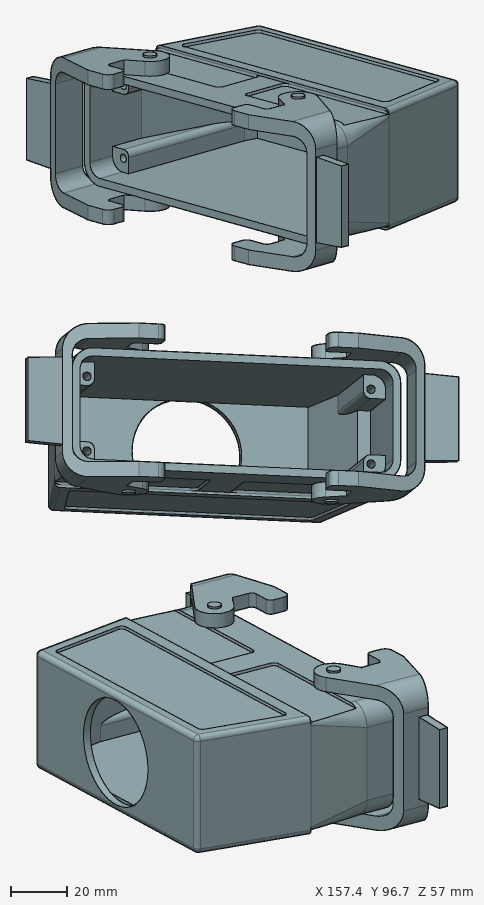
import cadquery as cq
import math


rim_depth = 11.5
step_y = 34.5
hood_depth = 78.5

rim_half_width = 60.0
step_half_width = 58.2
back_half_width = 50.0
rim_half_height = 21.6
rear_half_height = 22.6
rim_corner_radius = 7.6
edge_radius = 2.0

recess_draft = 15.0
recess_corner_radius = 2.0
recess_depth = 1.0
center_rib_width = 12.0
side_recess_front_y = 13.5
label_front_y = 39.5
label_back_y = 73.4
label_margin = 5.6

cavity_half_width = 57.2
cavity_half_height = 18.7
cavity_corner_radius = 5.0
floor_y = 75.5
left_slope_start_y = 26.0
left_floor_half_width = 48.2
right_ledge_half_width = 52.4
right_floor_half_width = 44.3
cable_hole_diameter = 40.0

boss_inner_x = 49.2
boss_inner_z = 10.2
boss_corner_radius = 2.5
screw_x = 51.9
screw_z = 13.5
screw_hole_diameter = 3.0
screw_hole_depth = 10.0

pin_x = 37.0
pin_y = 9.9
pin_diameter = 4.9
pin_half_span = 28.5

eye_radius = 7.0
lever_outer_x = 66.2
lever_web = 3.4
lever_half_height = 27.75
lever_arm_thickness = 5.45
lever_outer_radius = 9.1
lever_inner_radius = 5.7
lever_top_y = 0.0
lever_side_y = -10.8
lever_bottom_y = -18.2
hook_tip_x = pin_x - eye_radius
hook_throat_x = 40.1
hook_top_y = -9.0
hook_fillet = 2.0
hook_bottom_fillet = 2.9
tab_end_x = 78.7
tab_front_y = -10.4
tab_back_y = -6.8
tab_root_half_height = 15.8
tab_end_half_height = 15.1


def rounded_section(y, half_width, half_height, radius):
    """Rounded rectangle parallel to XZ at the given Y."""
    sketch = cq.Sketch().rect(2 * half_width, 2 * half_height).vertices().fillet(radius)
    return cq.Workplane("XZ", origin=(0, y, 0)).placeSketch(sketch)


def rear_half_width_at(y):
    """Half width of the tapered rear block at the given Y."""
    share = (y - step_y) / (hood_depth - step_y)
    return step_half_width + share * (back_half_width - step_half_width)


def mirrored_z(solid):
    """The solid together with its mirror image below Z = 0."""
    return solid.union(solid.mirror("XY"))


def make_rim():
    """Straight rim and the transition from its round corners to the step."""
    rim = rounded_section(0, rim_half_width, rim_half_height, rim_corner_radius).extrude(-rim_depth)
    lower = cq.Sketch().rect(2 * rim_half_width, 2 * rim_half_height)
    lower = lower.vertices().fillet(rim_corner_radius)
    upper = cq.Sketch().rect(2 * step_half_width, 2 * rim_half_height).vertices().fillet(edge_radius)
    upper = upper.moved(cq.Location(cq.Vector(0, 0, -(step_y - rim_depth))))
    neck = cq.Workplane("XZ", origin=(0, rim_depth, 0)).placeSketch(lower, upper).loft(ruled=True)
    return rim.union(neck)


def make_side_recess():
    """Cutter for the recess beside the center rib on the +X, +Z quarter of the neck."""
    inner_x = center_rib_width / 2
    length = rim_half_width
    width = step_y - side_recess_front_y
    center = (inner_x + length / 2, side_recess_front_y + width / 2, rim_half_height)
    sketch = cq.Sketch().rect(length, width).vertices().fillet(recess_corner_radius)
    return cq.Workplane("XY", origin=center).placeSketch(sketch).extrude(-recess_depth, taper=recess_draft)


def make_rear_block():
    """Tapered rear block with rounded long and back edges."""
    outline = [
        (-step_half_width, step_y),
        (step_half_width, step_y),
        (back_half_width, hood_depth),
        (-back_half_width, hood_depth),
    ]
    block = cq.Workplane("XY").polyline(outline).close().extrude(rear_half_height, both=True)
    return block.faces("not <Y").edges("not <Y").fillet(edge_radius)


def make_label_recess():
    """Cutter for the label field on the +Z face of the rear block."""
    front_half = rear_half_width_at(label_front_y) - label_margin
    back_half = rear_half_width_at(label_back_y) - label_margin
    outline = [
        (-front_half, label_front_y),
        (front_half, label_front_y),
        (back_half, label_back_y),
        (-back_half, label_back_y),
        (-front_half, label_front_y),
    ]
    sketch = cq.Sketch().polygon(outline).vertices().fillet(recess_corner_radius)
    plane = cq.Workplane("XY", origin=(0, 0, rear_half_height))
    return plane.placeSketch(sketch).extrude(-recess_depth, taper=recess_draft)


def make_boss(side_x, side_z):
    """Screw boss with its inner edge rounded, reaching past the cavity walls."""
    size_x = rim_half_width - boss_inner_x
    size_z = rim_half_height - boss_inner_z
    center = (side_x * (boss_inner_x + size_x / 2), rim_depth, side_z * (boss_inner_z + size_z / 2))
    boss = cq.Workplane("XZ", origin=center).rect(size_x, size_z).extrude(-(hood_depth - rim_depth))
    return boss.edges("|Y").fillet(boss_corner_radius)


def make_screw_hole(side_x, side_z):
    plane = cq.Workplane("XZ", origin=(side_x * screw_x, rim_depth, side_z * screw_z))
    return plane.circle(screw_hole_diameter / 2).extrude(-screw_hole_depth)


def make_cavity():
    """Inner volume: one sloped wall at -X, a ledge and a thicker sloped wall at +X."""
    outline = [
        (-cavity_half_width, 0),
        (cavity_half_width, 0),
        (cavity_half_width, step_y),
        (right_ledge_half_width, step_y),
        (right_floor_half_width, floor_y),
        (-left_floor_half_width, floor_y),
        (-cavity_half_width, left_slope_start_y),
    ]
    plan = cq.Workplane("XY").polyline(outline).close().extrude(rim_half_height, both=True)
    tunnel = rounded_section(0, cavity_half_width, cavity_half_height, cavity_corner_radius)
    cavity = plan.intersect(tunnel.extrude(-hood_depth))
    for side_x in (-1, 1):
        for side_z in (-1, 1):
            cavity = cavity.cut(make_boss(side_x, side_z))
            cavity = cavity.union(make_screw_hole(side_x, side_z))
    return cavity


def make_hood():
    side_recess = make_side_recess()
    side_recesses = mirrored_z(side_recess.union(side_recess.mirror("YZ")))
    hood = make_rim().cut(side_recesses).union(make_rear_block())
    hood = hood.cut(mirrored_z(make_label_recess()))
    cable_hole = cq.Workplane("XZ", origin=(0, floor_y, 0)).circle(cable_hole_diameter / 2)
    cable_hole = cable_hole.extrude(-(hood_depth - floor_y))
    return hood.cut(make_cavity()).cut(cable_hole)


def eye_tangent(x, y, turn):
    """Point where the line from (x, y) touches the lever eye; turn picks the side."""
    dx = x - pin_x
    dy = y - pin_y
    angle = math.atan2(dy, dx) + turn * math.acos(eye_radius / math.hypot(dx, dy))
    return pin_x + eye_radius * math.cos(angle), pin_y + eye_radius * math.sin(angle)


def round_edge(profile, x, y, radius):
    """Round the upright edge of the lever profile that stands at (x, y)."""
    return profile.edges(cq.selectors.NearestToPointSelector((x, y, 0))).fillet(radius)


def make_lever():
    """The +X lever: hooked profile on two arms joined by a web, with a grip tab."""
    upper_touch = eye_tangent(lever_outer_x, lever_top_y, 1)
    lower_touch = eye_tangent(hook_throat_x, lever_top_y, -1)
    profile = (
        cq.Workplane("XY")
        .moveTo(lever_outer_x, lever_top_y)
        .lineTo(*upper_touch)
        .threePointArc((pin_x - eye_radius, pin_y), lower_touch)
        .lineTo(hook_throat_x, lever_top_y)
        .lineTo(hook_throat_x, hook_top_y)
        .lineTo(hook_tip_x, hook_top_y)
        .lineTo(hook_tip_x, lever_bottom_y)
        .lineTo(hook_throat_x, lever_bottom_y)
        .lineTo(lever_outer_x, lever_side_y)
        .close()
        .extrude(lever_half_height, both=True)
    )
    profile = round_edge(profile, hook_throat_x, hook_top_y, hook_fillet)
    profile = round_edge(profile, hook_tip_x, hook_top_y, hook_fillet)
    profile = round_edge(profile, hook_tip_x, lever_bottom_y, hook_bottom_fillet)

    inner_half_height = lever_half_height - lever_arm_thickness
    frame = rounded_section(lever_bottom_y, lever_outer_x, lever_half_height, lever_outer_radius)
    gap = rounded_section(lever_bottom_y, lever_outer_x - lever_web, inner_half_height, lever_inner_radius)
    lever_length = pin_y + eye_radius - lever_bottom_y
    lever = profile.intersect(frame.extrude(-lever_length)).cut(gap.extrude(-lever_length))

    root_x = lever_outer_x - lever_web / 2
    tab_outline = [
        (root_x, -tab_root_half_height),
        (lever_outer_x, -tab_root_half_height),
        (tab_end_x, -tab_end_half_height),
        (tab_end_x, tab_end_half_height),
        (lever_outer_x, tab_root_half_height),
        (root_x, tab_root_half_height),
    ]
    tab = cq.Workplane("XZ", origin=(0, tab_front_y, 0)).polyline(tab_outline).close()
    return lever.union(tab.extrude(tab_front_y - tab_back_y))


def make_pins():
    """The two +X pivot pins, rooted inside the hood walls."""
    root_z = (cavity_half_height + rim_half_height) / 2
    pin = cq.Workplane("XY", origin=(pin_x, pin_y, root_z)).circle(pin_diameter / 2)
    return mirrored_z(pin.extrude(pin_half_span - root_z))


lever_with_pins = make_lever().union(make_pins())
result = make_hood().union(lever_with_pins).union(lever_with_pins.mirror("YZ"))